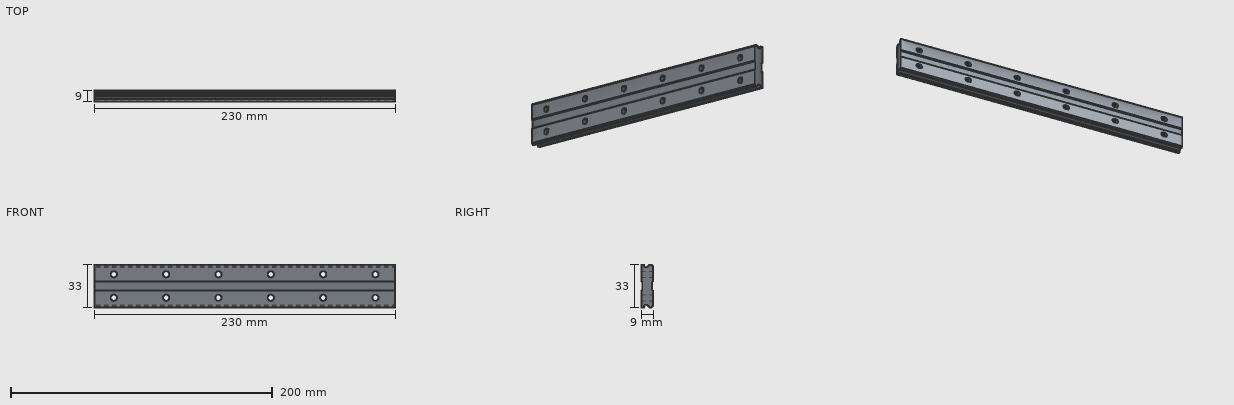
import cadquery as cq

length = 230.0
thickness = 9.0
height = 33.0

lip_width = 2.0
groove_floor_start = 2.8
groove_floor_end = 4.4
groove_depth = 2.0

bead_start = 5.0
bead_rise = 1.4
bead_facet_width = 0.7
bead_gentle_drop = 0.5

relief_depth = 0.7
relief_width = 7.5
relief_floor_width = relief_width - 2 * relief_depth

hole_diameter = 4.5
hole_count = 6
hole_pitch = 40.0
row_spacing = 18.0

front = -thickness / 2
back = thickness / 2
half_height = height / 2


def make_upper_half():
    """Extrude the profile above mid-height; the rail is symmetric about that plane."""

    def edge_point(distance_from_front, drop):
        return (front + distance_from_front, half_height - drop)

    profile = (
        cq.Workplane("YZ", origin=(-length / 2, 0, 0))
        .moveTo(front + relief_depth, 0)
        .lineTo(front + relief_depth, relief_floor_width / 2)
        .lineTo(front, relief_width / 2)
        .lineTo(*edge_point(0, 0))
        .lineTo(*edge_point(lip_width, 0))
        .lineTo(*edge_point(groove_floor_start, groove_depth))
        .lineTo(*edge_point(groove_floor_end, groove_depth))
        .lineTo(*edge_point(bead_start, bead_rise))
        .lineTo(*edge_point(bead_start + bead_facet_width, bead_gentle_drop))
        .lineTo(*edge_point(bead_start + 2 * bead_facet_width, 0))
        .lineTo(*edge_point(thickness - 2 * bead_facet_width, 0))
        .lineTo(*edge_point(thickness - bead_facet_width, bead_gentle_drop))
        .lineTo(*edge_point(thickness, bead_rise))
        .lineTo(back, relief_width / 2)
        .lineTo(back - relief_depth, relief_floor_width / 2)
        .lineTo(back - relief_depth, 0)
        .close()
    )
    return profile.extrude(length)


def make_rail():
    upper = make_upper_half()
    return upper.union(upper.mirror("XY")).clean()


def cut_holes(body):
    holes = (
        cq.Workplane("XZ")
        .rarray(hole_pitch, row_spacing, hole_count, 2)
        .circle(hole_diameter / 2)
        .extrude(thickness, both=True)
    )
    return body.cut(holes)


result = cut_holes(make_rail())